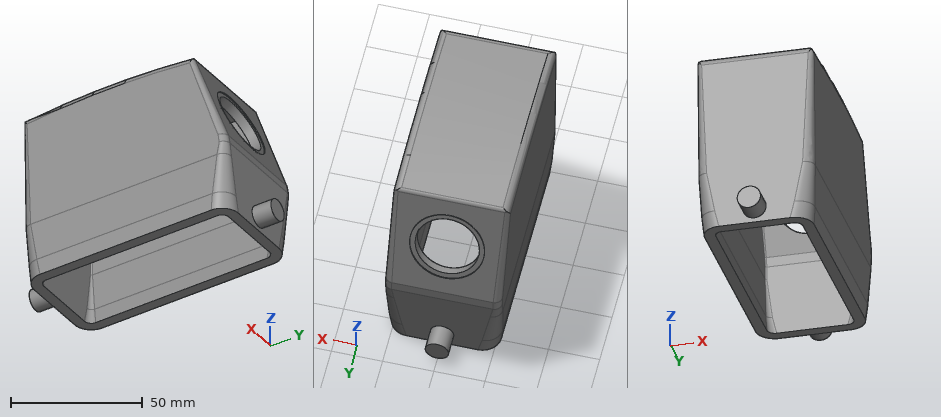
import cadquery as cq
import math

width = 45.5
height = 75.6
pin_span = 110.0
wall = 4.4

bottom_width = 42.9
skirt_width = 44.2
skirt_top = 6.9
side_bend = 23.6
half_length = 46.4
top_front_y = -45.8
bottom_corner = 7.5
skirt_corner = 6.5
side_corner = 4.0
top_corner = 1.5
back_top_corner = 1.8

ease_start = 29.0
ease_end = 32.7
slope_start_y = 45.9
slope_end_y = 30.8
slope_end_z = 73.9
ease_corner = 3.0
slope_run = slope_start_y - slope_end_y
slope_rise = slope_end_z - ease_end
slope_angle = math.degrees(math.atan2(slope_run, slope_rise))

crown_y = -6.6
crown_radius = 352.0
side_edge_round = 3.0
front_edge_round = 3.0
back_edge_round = 1.6

entry_diameter = 25.0
recess_diameter = 29.2
recess_depth = 0.4
entry_z = 52.8

pin_diameter = 9.1
pin_z = 6.4

loft_top = height + 3.3
overrun = 11

min_corner = 0.5


def slope_y(z):
    """Y position of the sloping face at height z."""
    return slope_start_y - (z - ease_end) * slope_run / slope_rise


def front_y(z):
    """Y position of the slightly drafted front face at height z."""
    return -half_length + (top_front_y + half_length) * z / height


def section(z, section_width, front, back, corner, inset):
    """Horizontal outline with rounded corners; inset narrows it in X and tightens its corners."""
    radius = max(corner - inset, min_corner)
    outline = cq.Workplane("XY", origin=(0, (front + back) / 2, z)).rect(section_width - 2 * inset, back - front)
    slab = outline.extrude(1.1).edges("|Z").fillet(radius)
    return slab.faces("<Z").wires().val()


def walls(inset):
    """Solid inside the four walls, moved inwards by inset."""
    back = half_length - inset
    slope_inset = inset / math.cos(math.radians(slope_angle))
    skirt_levels = [
        (0, bottom_width, bottom_corner),
        (skirt_top, skirt_width, skirt_corner),
        (side_bend, width, side_corner),
    ]
    front_sections = [
        section(z, level_width, front_y(z) + inset, half_length + overrun, corner, inset)
        for z, level_width, corner in skirt_levels + [(loft_top, width, top_corner)]
    ]
    back_levels = [
        (ease_start, ease_corner, back),
        (ease_end, ease_corner, slope_start_y - slope_inset),
        (loft_top, back_top_corner, slope_y(loft_top) - slope_inset),
    ]
    back_sections = [
        section(z, level_width, -half_length - overrun, back, corner, inset)
        for z, level_width, corner in skirt_levels
    ] + [
        section(z, width, -half_length - overrun, back_y, corner, inset)
        for z, corner, back_y in back_levels
    ]
    front_part = cq.Workplane(cq.Solid.makeLoft(front_sections, True))
    back_part = cq.Workplane(cq.Solid.makeLoft(back_sections, True))
    return front_part.intersect(back_part)


def under_roof(inset):
    """Drum whose top is the arched roof, lowered by inset."""
    return (
        cq.Workplane("YZ", origin=(-width / 2, crown_y, height - inset - crown_radius))
        .circle(crown_radius)
        .extrude(width)
    )


def edge_at(body, y, z):
    return body.edges(cq.selectors.NearestToPointSelector((0, y, z)))


def side_profile():
    """Outline of the hood along Y, with its front and back roof edges rounded."""
    profile = (
        cq.Workplane("YZ", origin=(-width / 2, 0, 0))
        .moveTo(front_y(0), 0)
        .lineTo(front_y(loft_top), loft_top)
        .lineTo(slope_y(loft_top), loft_top)
        .lineTo(slope_y(0), 0)
        .close()
        .extrude(width)
        .intersect(under_roof(0))
    )
    profile = edge_at(profile, top_front_y, height).fillet(front_edge_round)
    return edge_at(profile, slope_end_y, slope_end_z).fillet(back_edge_round)


rounded_drum = under_roof(0).edges().fillet(side_edge_round)
hood = walls(0).intersect(side_profile()).intersect(rounded_drum)

hood = hood.cut(walls(wall).intersect(under_roof(wall)))

entry = cq.Plane(
    origin=(0, slope_y(entry_z), entry_z),
    xDir=(1, 0, 0),
    normal=(0, -slope_rise, -slope_run),
)
hood = hood.cut(cq.Workplane(entry).circle(entry_diameter / 2).extrude(2 * wall))
hood = hood.cut(cq.Workplane(entry).circle(recess_diameter / 2).extrude(recess_depth))

pin_root = half_length - wall / 2
for side in (-1, 1):
    pin = (
        cq.Workplane("XZ", origin=(0, side * pin_root, pin_z))
        .circle(pin_diameter / 2)
        .extrude(-side * (pin_span / 2 - pin_root))
    )
    hood = hood.union(pin)

result = hood